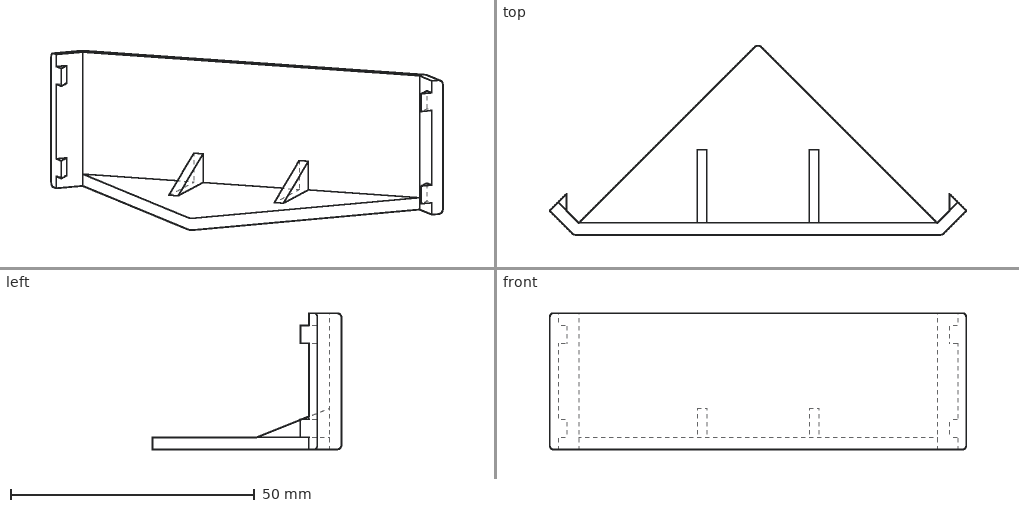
import cadquery as cq
import math

height = 28.0
thickness = 2.5
base_leg = 52.0
wing_length = 6.0
wing_angle = 45.0
edge_radius = 1.0
catch_leg = 2.45
catch_height = 3.7
rib_thickness = 2.0
rib_length = 15.0
rib_height = 6.0
rib_offset = 11.5

bend = math.radians(wing_angle)
inner_corner_x = base_leg / math.sqrt(2)
outer_corner_x = inner_corner_x + thickness * math.tan(bend / 2)
wing_inner_x = inner_corner_x + wing_length * math.cos(bend)
wing_inner_y = thickness + wing_length * math.sin(bend)
wing_outer_x = wing_inner_x + thickness * math.sin(bend)
wing_outer_y = wing_inner_y - thickness * math.cos(bend)
base_tip_y = thickness + inner_corner_x


def make_wall():
    """Front wall with two bent wings, rounded along its outer face."""
    wall = (
        cq.Workplane("XY")
        .polyline([
            (-outer_corner_x, 0),
            (outer_corner_x, 0),
            (wing_outer_x, wing_outer_y),
            (wing_inner_x, wing_inner_y),
            (inner_corner_x, thickness),
            (-inner_corner_x, thickness),
            (-wing_inner_x, wing_inner_y),
            (-wing_outer_x, wing_outer_y),
        ])
        .close()
        .extrude(height)
    )
    wing_mid_x = (outer_corner_x + wing_outer_x) / 2
    wing_mid_y = wing_outer_y / 2
    edge_midpoints = [(0, 0, z) for z in (0, height)]
    for side in (-1, 1):
        edge_midpoints.append((side * outer_corner_x, 0, height / 2))
        for z in (0, height):
            edge_midpoints.append((side * wing_mid_x, wing_mid_y, z))
    outer_edges = [
        wall.edges(cq.selectors.NearestToPointSelector(point)).val()
        for point in edge_midpoints
    ]
    return wall.newObject(outer_edges).fillet(edge_radius)


def make_base():
    """Right-angled triangular plate behind the wall with a rounded tip."""
    plate = (
        cq.Workplane("XY")
        .polyline([
            (-inner_corner_x, thickness),
            (inner_corner_x, thickness),
            (0, base_tip_y),
        ])
        .close()
        .extrude(thickness)
    )
    return plate.edges("|Z").edges(">Y").fillet(edge_radius)


def make_rib(x_mid):
    """Triangular gusset between the wall and the base plate."""
    return (
        cq.Workplane("YZ", origin=(x_mid, 0, 0))
        .polyline([
            (thickness, thickness),
            (thickness + rib_length, thickness),
            (thickness, thickness + rib_height),
        ])
        .close()
        .extrude(rib_thickness / 2, both=True)
    )


def make_catch(side, z_bottom):
    """Triangular catch on the inner face of a wing, flush with the wing end."""
    reach_x = catch_leg * math.sin(bend)
    reach_y = catch_leg * math.cos(bend)
    return (
        cq.Workplane("XY", origin=(0, 0, z_bottom))
        .polyline([
            (side * wing_inner_x, wing_inner_y),
            (side * (wing_inner_x - reach_x), wing_inner_y + reach_y),
            (side * (wing_inner_x - reach_y), wing_inner_y - reach_x),
        ])
        .close()
        .extrude(catch_height)
    )


result = make_wall().union(make_base())
lower_catch_z = thickness
upper_catch_z = height - thickness - catch_height
for side in (-1, 1):
    result = result.union(make_rib(side * rib_offset))
    for z_bottom in (lower_catch_z, upper_catch_z):
        result = result.union(make_catch(side, z_bottom))